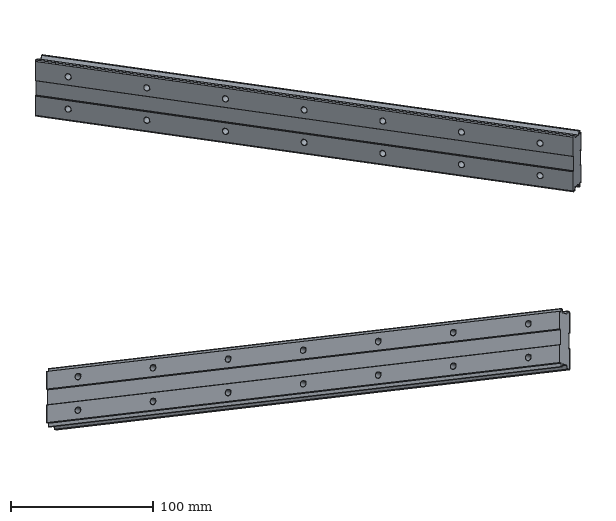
import cadquery as cq

length = 410.0
depth = 15.0
height = 42.0

body_height = 37.0
channel_floor_height = 10.5
channel_depth = 1.02
channel_side_rise = 0.5

front_lip_width = 3.5
front_lip_slope = 1.2
front_lip_chamfer = 1.0

back_shelf_width = 2.5
back_lip_width = 3.0
back_lip_slope = 1.5

hole_diameter = 4.5
holes_per_row = 7
hole_rows = 2
end_margin = 25.0
hole_pitch = (length - 2 * end_margin) / (holes_per_row - 1)
row_spacing = 24.0


def upper_outline():
    """(y, z) points of the upper half of the section, from the front channel to the back channel."""
    front = -depth / 2
    back = depth / 2
    lip_top = height / 2
    body_top = body_height / 2
    channel_floor = channel_floor_height / 2
    channel_edge = channel_floor + channel_side_rise
    front_lip_inner = front + front_lip_width
    back_lip_outer = back - back_shelf_width
    back_lip_inner = back_lip_outer - back_lip_width
    return [
        (front + channel_depth, channel_floor),
        (front, channel_edge),
        (front, lip_top - front_lip_chamfer),
        (front + front_lip_chamfer, lip_top),
        (front_lip_inner, lip_top),
        (front_lip_inner + front_lip_slope, body_top),
        (back_lip_inner, body_top),
        (back_lip_inner + back_lip_slope, lip_top),
        (back_lip_outer, lip_top),
        (back_lip_outer, body_top),
        (back, body_top),
        (back, channel_edge),
        (back - channel_depth, channel_floor),
    ]


def make_rail():
    upper = upper_outline()
    lower = [(y, -z) for y, z in reversed(upper)]
    return cq.Workplane("YZ").polyline(upper + lower).close().extrude(length / 2, both=True)


def make_holes():
    return (
        cq.Workplane("XZ")
        .rarray(hole_pitch, row_spacing, holes_per_row, hole_rows)
        .circle(hole_diameter / 2)
        .extrude(depth, both=True)
    )


result = make_rail().cut(make_holes())